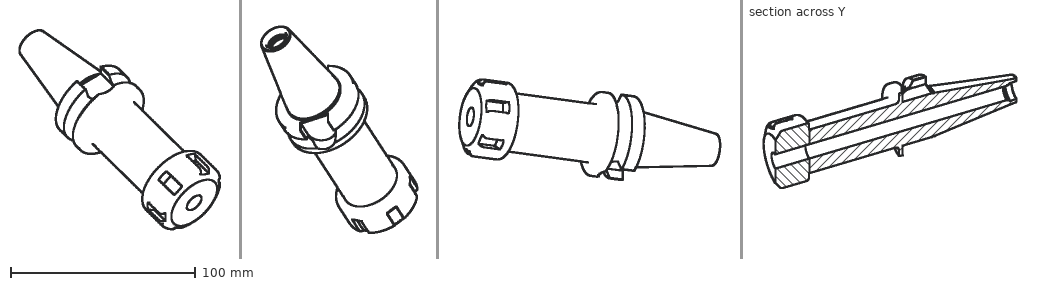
import cadquery as cq
import math

total_length = 143.5
flange_start = 50.2
flange_end = 70.2
nut_start = 123.4

taper_slope = 7 / 48
gauge_radius = 16.0
relief_width = 1.3
relief_depth = 0.5
taper_end_chamfer = 0.5

flange_radius = 46.0 / 2
flange_edge_fillet = 0.9
groove_radius = 19.0
groove_floor_start = 60.1
groove_floor_end = 63.7
groove_side_length = 2.2
groove_fillet = 0.6

key_half_width = 8.0
key_floor_height = 16.1
key_end = 67.7
key_edge_chamfer = 0.5

body_radius = 32.0 / 2
body_fillet = 2.2

bore_radius = 5.0
counterbore_radius = 6.3
counterbore_depth = 4.0
counterbore_step_end = 4.3
pilot_radius = 5.5
pilot_depth = 5.6
pilot_step_end = 6.0
mouth_fillet = 0.7

nut_radius = 21.1
nut_face_radius = 15.8
nut_cone_length = 3.5
nut_front_fillet = 2.0
nut_rear_fillet = 1.7
nut_turn = 1.4

slot_count = 6
slot_width = 6.3
slot_depth = 2.7
slot_start = 129.3
long_slot_start = 127.4
long_slot_number = 2


def revolve_about_x(profile):
    return profile.close().revolve(360, (0, 0, 0), (1, 0, 0))


def make_holder_blank():
    relief_start = flange_start - relief_width
    relief_middle = flange_start - relief_width / 2
    small_radius = gauge_radius - relief_start * taper_slope
    rim_radius = flange_radius - flange_edge_fillet
    profile = (
        cq.Workplane("XY")
        .lineTo(0, small_radius - taper_end_chamfer)
        .lineTo(taper_end_chamfer, small_radius + taper_end_chamfer * taper_slope)
        .lineTo(relief_start, gauge_radius)
        .threePointArc((relief_middle, gauge_radius - relief_depth), (flange_start, gauge_radius))
        .lineTo(flange_start, rim_radius)
        .radiusArc((flange_start + flange_edge_fillet, flange_radius), flange_edge_fillet)
        .lineTo(flange_end - flange_edge_fillet, flange_radius)
        .radiusArc((flange_end, rim_radius), flange_edge_fillet)
        .lineTo(flange_end, body_radius + body_fillet)
        .radiusArc((flange_end + body_fillet, body_radius), -body_fillet)
        .lineTo(nut_start, body_radius)
        .lineTo(nut_start, 0)
    )
    return revolve_about_x(profile)


def make_gripper_groove():
    outer_radius = flange_radius + (flange_radius - groove_radius)
    side_reach = 2 * groove_side_length
    groove = revolve_about_x(
        cq.Workplane("XY")
        .moveTo(groove_floor_start, groove_radius)
        .lineTo(groove_floor_start - side_reach, outer_radius)
        .lineTo(groove_floor_end + side_reach, outer_radius)
        .lineTo(groove_floor_end, groove_radius)
    )
    floor_corners = cq.selectors.RadiusNthSelector(0)
    return groove.edges("%CIRCLE").edges(floor_corners).fillet(groove_fillet)


def make_stepped_bore():
    profile = (
        cq.Workplane("XY")
        .lineTo(0, counterbore_radius + mouth_fillet)
        .radiusArc((mouth_fillet, counterbore_radius), -mouth_fillet)
        .lineTo(counterbore_depth, counterbore_radius)
        .lineTo(counterbore_step_end, pilot_radius)
        .lineTo(pilot_depth, pilot_radius)
        .lineTo(pilot_step_end, bore_radius)
        .lineTo(total_length, bore_radius)
        .lineTo(total_length, 0)
    )
    return revolve_about_x(profile)


def make_keyway():
    straight_end = key_end - key_half_width
    return (
        cq.Workplane("XY", origin=(0, 0, key_floor_height))
        .moveTo(flange_start, -key_half_width)
        .lineTo(straight_end, -key_half_width)
        .threePointArc((key_end, 0), (straight_end, key_half_width))
        .lineTo(flange_start, key_half_width)
        .close()
        .extrude(flange_radius)
    )


def make_keyway_mouth():
    """Sloping-sided cutter that chamfers the keyway edges on the flange's front face."""
    mouth_floor = key_floor_height - key_edge_chamfer
    mouth_half_width = key_half_width + key_edge_chamfer
    mouth_top = 2 * flange_radius
    return (
        cq.Workplane("YZ", origin=(flange_start, 0, 0))
        .center(0, (mouth_floor + mouth_top) / 2)
        .rect(2 * mouth_half_width, mouth_top - mouth_floor)
        .extrude(key_edge_chamfer, taper=45)
    )


def make_keyway_flare():
    """Prism that chamfers the edges between the keyway walls and the flange rim."""
    edge_height = math.sqrt(flange_radius**2 - key_half_width**2)
    flare_bottom = edge_height - key_edge_chamfer
    flare_half_width = key_half_width + flange_radius - flare_bottom
    return (
        cq.Workplane("YZ", origin=(flange_start, 0, 0))
        .moveTo(-key_half_width, flare_bottom)
        .lineTo(-flare_half_width, flange_radius)
        .lineTo(flare_half_width, flange_radius)
        .lineTo(key_half_width, flare_bottom)
        .close()
        .extrude(groove_floor_start - flange_start)
    )


def make_holder():
    holder = make_holder_blank().cut(make_gripper_groove()).cut(make_stepped_bore())
    for angle in (0, 180):
        for cutter in (make_keyway(), make_keyway_mouth(), make_keyway_flare()):
            holder = holder.cut(cutter.rotate((0, 0, 0), (1, 0, 0), angle))
    return holder


def make_nut_blank():
    cone_start = total_length - nut_cone_length
    cone_angle = math.atan2(nut_radius - nut_face_radius, nut_cone_length)
    tangent_length = nut_front_fillet * math.tan(cone_angle / 2)
    round_end = (
        cone_start + tangent_length * math.cos(cone_angle),
        nut_radius - tangent_length * math.sin(cone_angle),
    )
    nut_profile = (
        cq.Workplane("XY")
        .moveTo(nut_start, bore_radius)
        .lineTo(nut_start, nut_radius - nut_rear_fillet)
        .radiusArc((nut_start + nut_rear_fillet, nut_radius), nut_rear_fillet)
        .lineTo(cone_start - tangent_length, nut_radius)
        .radiusArc(round_end, nut_front_fillet)
        .lineTo(total_length, nut_face_radius)
        .lineTo(total_length, bore_radius)
    )
    return revolve_about_x(nut_profile)


def make_wrench_slot(start):
    floor_radius = nut_radius - slot_depth
    outer_radius = nut_radius + slot_depth
    return (
        cq.Workplane("XZ", origin=(0, slot_width / 2, 0))
        .moveTo(start + slot_depth, floor_radius)
        .lineTo(start - slot_depth, outer_radius)
        .lineTo(total_length, outer_radius)
        .lineTo(total_length, floor_radius)
        .close()
        .extrude(slot_width)
    )


def make_nut():
    nut = make_nut_blank()
    slot_pitch = 360 / slot_count
    for number in range(slot_count):
        start = long_slot_start if number == long_slot_number else slot_start
        angle = 90 + nut_turn - number * slot_pitch
        nut = nut.cut(make_wrench_slot(start).rotate((0, 0, 0), (1, 0, 0), angle))
    return nut


holder = make_holder()
nut = make_nut()
result = cq.Compound.makeCompound([holder.val(), nut.val()])